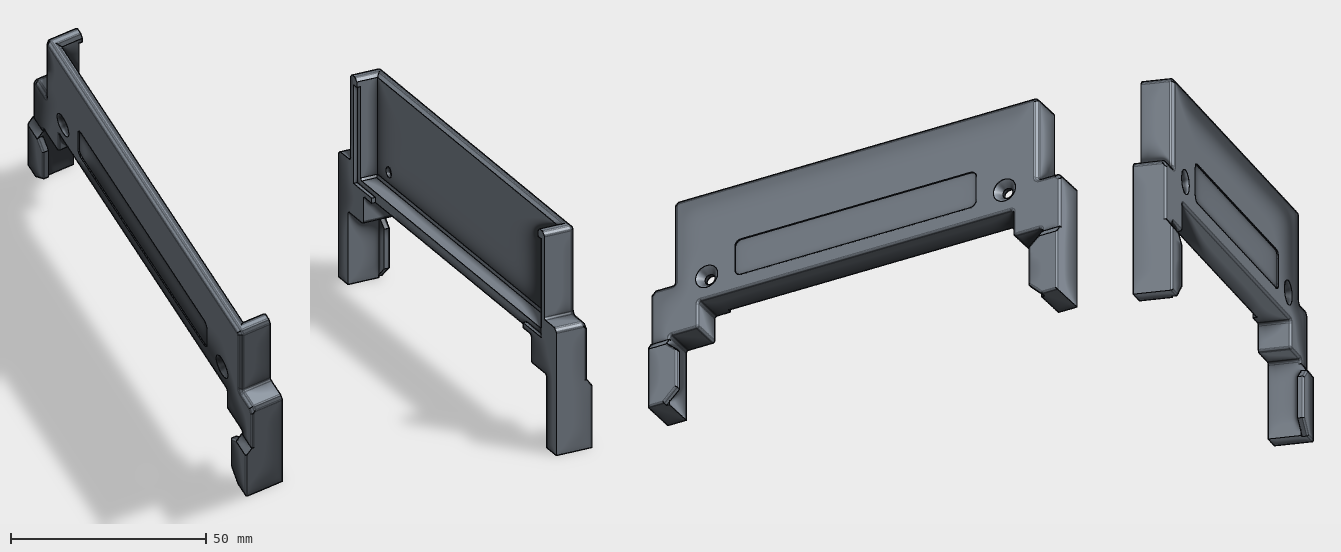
import cadquery as cq

width = 120
depth = 10.5
height = 60.5
half_width = width / 2

panel_half_width = 53.4
shoulder_z = 35.9
underside_z = 28.5
block_half_gap = 46.2
block_bottom_z = 20.8
leg_half_gap = 54.6
shoulder_fillet = 0.6
underside_fillet = 0.7

bevel = 1.0
edge_round = 0.6

pad_depth = 1.7
pad_half_gap = 51.6
pad_slope_bottom_z = 17.3
pad_slope_top_z = 19.5
pad_neck_z = 17.6
pad_upper_z = 15.0
pad_heel_z = 3.7
pad_toe_half_gap = 55.5
pad_round = 0.5
front_y = pad_depth

front_wall = 2.9
side_wall = 3.6
tray_floor_z = 31.5
tray_half_width = panel_half_width - side_wall
tray_front_y = front_y + front_wall
rim_bevel = 1.0
rim_round = 0.5
floor_bevel = 0.6

rebate_depth = 1.1
rebate_half_width = 51.6
rebate_top_z = 58.0
tab_half_gap = 41.6
tab_top_z = 30

hole_x = 43.7
hole_z = 35.2
hole_diameter = 2.9
sink_diameter = 6.5
sink_depth = (sink_diameter - hole_diameter) / 2

label_width = 70.8
label_height = 10.5
label_z = 38.2
label_corner = 1.8
label_depth = 0.4

margin = 0.1


def box(x_range, y_range, z_range):
    """Box between the given limits."""
    sizes = [high - low for low, high in (x_range, y_range, z_range)]
    corner = (x_range[0], y_range[0], z_range[0])
    return cq.Workplane("XY").box(*sizes, centered=False).translate(corner)


def prism(points, y_start, y_end):
    """Prism along Y over an outline of (x, z) points."""
    sketch = cq.Workplane("XZ", origin=(0, y_start, 0)).polyline(points).close()
    return sketch.extrude(y_start - y_end)


def within(x_limit, y_range, z_range):
    """Selector of edges centred inside limits that are symmetric about the centre plane."""
    low = (-x_limit - margin, y_range[0] - margin, z_range[0] - margin)
    high = (x_limit + margin, y_range[1] + margin, z_range[1] + margin)
    return cq.selectors.BoxSelector(low, high)


def plain_body():
    """Body with its outline filleted, before the front edges are worked."""
    half_outline = [
        (panel_half_width - bevel, height),
        (panel_half_width, height - bevel),
        (panel_half_width, shoulder_z),
        (half_width - bevel, shoulder_z),
        (half_width, shoulder_z - bevel),
        (half_width, 0),
        (leg_half_gap, 0),
        (leg_half_gap, block_bottom_z),
        (block_half_gap, block_bottom_z),
        (block_half_gap, underside_z),
    ]
    outline = half_outline + [(-x, z) for x, z in reversed(half_outline)]
    solid = prism(outline, front_y, depth)

    full_depth = (front_y, depth)
    underside_corners = within(leg_half_gap, full_depth, (block_bottom_z, underside_z))
    shoulder_corners = within(panel_half_width, full_depth, (shoulder_z, shoulder_z))
    solid = solid.edges("|Y").edges(underside_corners).fillet(underside_fillet)
    return solid.edges("|Y").edges(shoulder_corners).fillet(shoulder_fillet)


def body():
    """Body with bevelled upper front edges, and its front and corner edges rounded."""
    upper = (shoulder_z - bevel / 2, height)
    above_legs = (shoulder_z - bevel, height)
    solid = plain_body()
    solid = solid.faces("<Y").edges(within(half_width, (front_y, front_y), upper)).chamfer(bevel)

    bevel_y = front_y + bevel
    full_depth = (front_y, depth)
    top_corners = within(panel_half_width, full_depth, (height - bevel, height))
    end_corners = solid.edges("|Y").edges(within(half_width, full_depth, above_legs)).edges("<X or >X")
    inner_end_corners = (
        solid.edges("|Y")
        .edges(within(half_width - bevel, full_depth, (shoulder_z, shoulder_z)))
        .edges("<X or >X")
    )
    rounded = (
        solid.faces("<Y").edges()
        .add(solid.edges(within(half_width, (bevel_y, bevel_y), above_legs)))
        .add(solid.edges("|Y").edges(top_corners))
        .add(end_corners)
        .add(inner_end_corners)
    )
    return rounded.fillet(edge_round)


def pad():
    """Foot pad on the +X leg, with a sloped top and a backing behind the leg's rounded edges."""
    outline = [
        (half_width, 0),
        (half_width, pad_slope_top_z),
        (leg_half_gap, pad_slope_top_z),
        (leg_half_gap, pad_neck_z),
        (pad_half_gap, pad_upper_z),
        (pad_half_gap, pad_heel_z),
        (pad_toe_half_gap, 0),
    ]
    block = prism(outline, 0, front_y).faces("<Y").edges("not >Z").fillet(pad_round)
    above_slope = (
        cq.Workplane("YZ")
        .polyline([(0, pad_slope_bottom_z), (front_y, pad_slope_top_z), (0, pad_slope_top_z)])
        .close()
        .extrude(half_width)
    )
    backing = box(
        (leg_half_gap, half_width), (front_y, front_y + edge_round), (0, pad_slope_top_z)
    )
    return block.cut(above_slope).union(backing)


def cut_tray(solid):
    """Hollow out the tray, then bevel and round its rim."""
    cavity = box((-tray_half_width, tray_half_width), (tray_front_y, depth), (tray_floor_z, height))
    solid = solid.cut(cavity.faces("<Z").edges("not >Y").chamfer(floor_bevel))

    top = (height, height)
    side_end_y = depth - 2 * margin
    inner_rim = within(tray_half_width, (tray_front_y, side_end_y), top)
    solid = solid.edges(inner_rim).chamfer(rim_bevel)
    bevel_rim = within(tray_half_width + rim_bevel, (tray_front_y - rim_bevel, side_end_y), top)
    return solid.edges(bevel_rim).fillet(rim_round)


def rebate():
    back = (depth - rebate_depth, depth)
    over_tabs = box((-rebate_half_width, rebate_half_width), back, (tab_top_z, rebate_top_z))
    between_tabs = box((-tab_half_gap, tab_half_gap), back, (0, rebate_top_z))
    return over_tabs.union(between_tabs)


def screw_hole(x):
    """Cutter for one countersunk through hole."""
    start = cq.Vector(x, front_y, hole_z)
    inward = cq.Vector(0, 1, 0)
    hole = cq.Solid.makeCylinder(hole_diameter / 2, depth, start, inward)
    sink = cq.Solid.makeCone(sink_diameter / 2, hole_diameter / 2, sink_depth, start, inward)
    return cq.Workplane(hole).union(cq.Workplane(sink))


def label_recess():
    return (
        cq.Workplane("XZ", origin=(0, front_y, label_z))
        .rect(label_width, label_height)
        .extrude(-label_depth)
        .edges("|Y")
        .fillet(label_corner)
    )


right_pad = pad()
result = body().union(right_pad).union(right_pad.mirror("YZ"))
result = cut_tray(result)
result = result.cut(rebate())
for hole_side in (-1, 1):
    result = result.cut(screw_hole(hole_side * hole_x))
result = result.cut(label_recess())